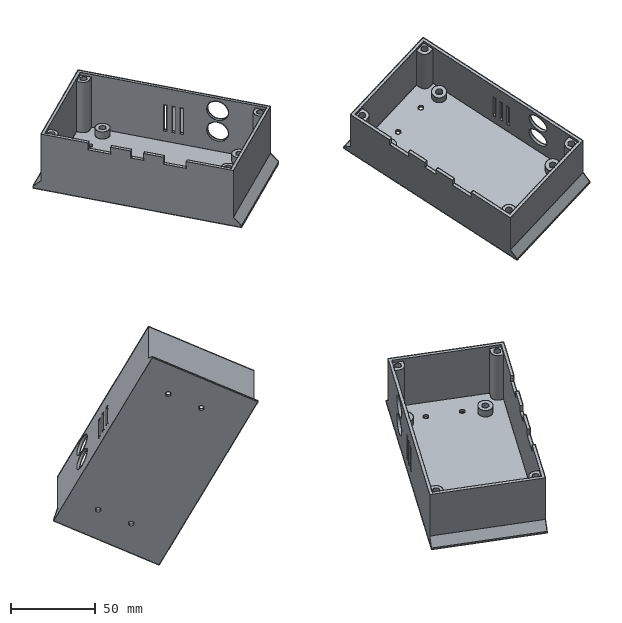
import cadquery as cq

LENGTH = 130.0
WIDTH = 70.0
HEIGHT = 40.0
FLANGE_REACH = 5.1
FLANGE_EDGE = 1.3
FLANGE_RISE = FLANGE_REACH
WALL = 2.0
FLOOR = 2.0

BODY_LENGTH = LENGTH - 2 * FLANGE_REACH
CAVITY_LENGTH = BODY_LENGTH - 2 * WALL
CAVITY_WIDTH = WIDTH - 2 * WALL

POST_X = 55.0
POST_Y = 30.0
POST_RADIUS = 4.0
POST_DROP = 2.0
SCREW_DIAMETER = 4.0

STANDOFF_DIAMETER = 9.0
STANDOFF_HEIGHT = 5.1
STANDOFF_XS = (-42.4, 42.8)
STANDOFF_YS = (-20.3, 27.8)
MOUNT_HOLE_DIAMETER = 3.2
MOUNT_HOLE_X = 46.0
MOUNT_HOLE_YS = (-7.0, 15.0)

NOTCH_DEPTH = 5.0
WIDE_NOTCH = 14.0
NARROW_NOTCH = 8.0
WIDE_NOTCH_X = 23.5

PORT_DIAMETER = 13.5
PORT_X = 27.5
PORT_ZS = (16.0, 31.0)
SLOT_WIDTH = 2.0
SLOT_HEIGHT = 18.7
SLOT_PITCH = 5.1
SLOT_BOTTOM = 9.2

BACK_WALL_Y = WIDTH / 2 - WALL / 2
CUT_DEPTH = 2 * WALL


def block(length, width, height, x, y, bottom):
    """Upright block centred on (x, y) and rising from the given height."""
    return (
        cq.Workplane("XY", origin=(x, y, bottom))
        .box(length, width, height, centered=(True, True, False))
    )


def cylinder(diameter, height, x, y, bottom):
    """Vertical cylinder rising from the given height."""
    return cq.Workplane("XY", origin=(x, y, bottom)).circle(diameter / 2).extrude(height)


def make_shell():
    """Hollow body with a wedge-shaped flange along each end."""
    half_body = BODY_LENGTH / 2
    half_length = LENGTH / 2
    shoulder = FLANGE_EDGE + FLANGE_RISE
    outline = [
        (-half_length, 0),
        (half_length, 0),
        (half_length, FLANGE_EDGE),
        (half_body, shoulder),
        (half_body, HEIGHT),
        (-half_body, HEIGHT),
        (-half_body, shoulder),
        (-half_length, FLANGE_EDGE),
    ]
    solid = cq.Workplane("XZ").polyline(outline).close().extrude(WIDTH / 2, both=True)
    return solid.cut(block(CAVITY_LENGTH, CAVITY_WIDTH, HEIGHT, 0, 0, FLOOR))


def make_post(side_x, side_y):
    """Post filling one cavity corner, with its inward edge rounded."""
    length = CAVITY_LENGTH / 2 - POST_X + POST_RADIUS
    width = CAVITY_WIDTH / 2 - POST_Y + POST_RADIUS
    x = side_x * (CAVITY_LENGTH - length) / 2
    y = side_y * (CAVITY_WIDTH - width) / 2
    inward_x = "<X" if side_x > 0 else ">X"
    inward_y = "<Y" if side_y > 0 else ">Y"
    post = block(length, width, HEIGHT - POST_DROP - FLOOR, x, y, FLOOR)
    return post.faces(inward_x).edges(inward_y).fillet(POST_RADIUS)


result = make_shell()

for side_x in (-1, 1):
    for side_y in (-1, 1):
        result = result.union(make_post(side_x, side_y))
        result = result.cut(cylinder(SCREW_DIAMETER, HEIGHT, side_x * POST_X, side_y * POST_Y, FLOOR))

for x in STANDOFF_XS:
    for y in STANDOFF_YS:
        result = result.union(cylinder(STANDOFF_DIAMETER, STANDOFF_HEIGHT, x, y, FLOOR))
        result = result.cut(cylinder(SCREW_DIAMETER, STANDOFF_HEIGHT, x, y, FLOOR))

for x in (-MOUNT_HOLE_X, MOUNT_HOLE_X):
    for y in MOUNT_HOLE_YS:
        result = result.cut(cylinder(MOUNT_HOLE_DIAMETER, FLOOR, x, y, 0))

for x, notch in ((-WIDE_NOTCH_X, WIDE_NOTCH), (0, NARROW_NOTCH), (WIDE_NOTCH_X, WIDE_NOTCH)):
    result = result.cut(block(notch, CUT_DEPTH, NOTCH_DEPTH, x, -BACK_WALL_Y, HEIGHT - NOTCH_DEPTH))

for z in PORT_ZS:
    port = (
        cq.Workplane("XZ", origin=(PORT_X, BACK_WALL_Y, z))
        .circle(PORT_DIAMETER / 2)
        .extrude(CUT_DEPTH / 2, both=True)
    )
    result = result.cut(port)

for step in (-1, 0, 1):
    result = result.cut(block(SLOT_WIDTH, CUT_DEPTH, SLOT_HEIGHT, step * SLOT_PITCH, BACK_WALL_Y, SLOT_BOTTOM))